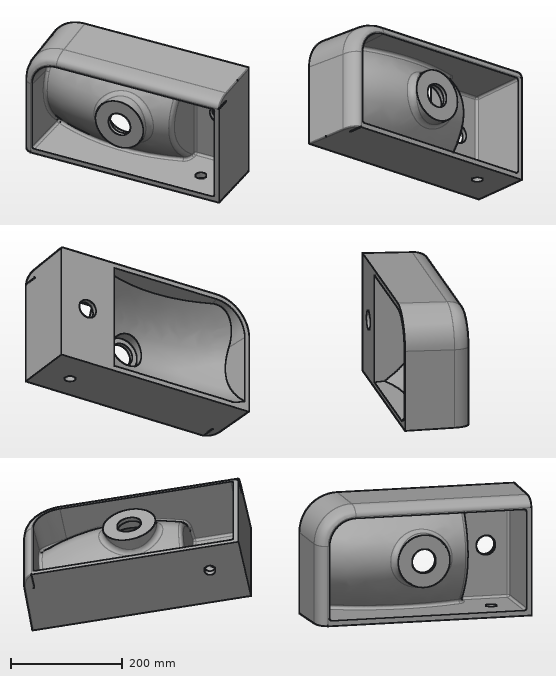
import cadquery as cq
import math

width = 400.0
depth = 120.0
height = 220.0
outer_draft = 2.0
corner_radius = 70.0
end_edge_radius = 2.0

roll_depth = 29.5
roll_width = 18.5

land = 3.0
end_wall = 9.5
back_wall = 10.0
deck_thickness = 10.0
cavity_draft = 2.0
cavity_fillet = 4.5

bowl_low_x = 180.0
bowl_low_y = 12.0
bowl_curve_x = 0.0015
bowl_curve_z = 0.0065
bowl_shell = 10.0
bowl_side_x = 297.0
bowl_side_draft = 4.0
bowl_side_fillet = 10.0
basin_wall = 10.0
basin_draft = 5.0

dome_width = 398.5
dome_steps = 12
dome_tolerance = 0.001

drain_x = 200.0
drain_z = height / 2
boss_diameter = 96.0
boss_fillet = 12.0
drain_diameter = 44.0
drain_lip = 8.0
recess_diameter = 64.0
tap_diameter = 35.0
tap_x = 344.0
inlet_diameter = 20.0
inlet_x = 338.0
inlet_y = 51.0

wall_depth = depth - roll_depth
shift = wall_depth * math.tan(math.radians(outer_draft))
arc_x = corner_radius + shift
arc_z = height - corner_radius - shift
front_radius = corner_radius - roll_width
core_left = arc_x - front_radius
core_top = arc_z + front_radius

margin = 4.0


def xz_plane(y):
    """Sketch plane at the given Y, with local axes along X and Z and normal towards -Y."""
    return cq.Workplane("XZ", origin=(0, y, 0))


def corner_profile(y, left, bottom, right, top, radius):
    """Rectangle whose upper left corner is rounded."""
    mid = radius * math.sqrt(0.5)
    return (
        xz_plane(y)
        .moveTo(left, bottom)
        .lineTo(left, top - radius)
        .threePointArc((left + radius - mid, top - radius + mid), (left + radius, top))
        .lineTo(right, top)
        .lineTo(right, bottom)
        .close()
    )


def cylinder(diameter, x, z, y0, y1):
    """Round bar along Y."""
    return xz_plane(y1).center(x, z).circle(diameter / 2).extrude(y1 - y0)


def drafted_walls():
    """Outer body above the rolled edge, lofted between two shifted copies of its outline."""
    upper = corner_profile(depth, 0, 0, width, height, corner_radius)
    lower = corner_profile(roll_depth, shift, 0, width, height - shift, corner_radius)
    return cq.Workplane(cq.Solid.makeLoft([upper.wires().val(), lower.wires().val()], True))


def rolled_section(plane):
    """Section of the rolled edge: local x points away from the corner axis, local y along +Y."""
    return (
        plane.moveTo(front_radius, 0)
        .ellipseArc(roll_width, roll_depth, -90, 0, startAtCurrent=True)
        .lineTo(front_radius, roll_depth)
        .close()
    )


def rolled_edge():
    """Rolled lower edge: along the left wall, round the corner and along the top wall."""
    corner = (arc_x, 0, arc_z)
    left_plane = cq.Plane(origin=corner, xDir=(-1, 0, 0), normal=(0, 0, -1))
    top_plane = cq.Plane(origin=corner, xDir=(0, 0, 1), normal=(-1, 0, 0))
    left = rolled_section(cq.Workplane(left_plane)).extrude(arc_z)
    top = rolled_section(cq.Workplane(top_plane)).extrude(arc_x - width)
    bend = rolled_section(cq.Workplane(left_plane)).revolve(90, (0, 0), (0, 1))
    return left.union(bend).union(top)


def underside_core():
    """Flat-bottomed core inside the rolled edge."""
    return corner_profile(
        roll_depth, core_left, 0, width, core_top, front_radius
    ).extrude(roll_depth)


def outer_body():
    """Solid outside shape, with the outer edges of its two cut ends rounded."""
    body = drafted_walls().union(rolled_edge())
    right_end = cq.selectors.BoxSelector(
        (width - margin, -margin, height - roll_depth),
        (width + margin, depth - margin, height + margin),
    )
    end_edges = body.faces(">X").edges(right_end).vals()
    body = body.newObject(end_edges).fillet(end_edge_radius)
    lower_left = cq.selectors.BoxSelector(
        (-margin, -margin, -margin), (roll_depth, depth - margin, margin)
    )
    back_edges = body.faces("<Z").edges(lower_left).vals()
    body = body.newObject(back_edges).fillet(end_edge_radius)
    return body.union(underside_core())


def bowl_dome(low_y):
    """Everything above a paraboloid whose lowest point lies at low_y."""

    def surface_point(x, z):
        y = low_y + bowl_curve_x * (x - bowl_low_x) ** 2 + bowl_curve_z * (z - drain_z) ** 2
        return cq.Vector(x, y, z)

    grid = [
        [
            surface_point(dome_width * i / dome_steps, height * j / dome_steps)
            for j in range(dome_steps + 1)
        ]
        for i in range(dome_steps + 1)
    ]
    face = cq.Face.makeSplineApprox(grid, tol=dome_tolerance, maxDeg=3)
    return cq.Workplane(cq.Solid.extrudeLinear(face, cq.Vector(0, 2 * depth, 0)))


def bowl_extent():
    """Block left of the bowl's drafted right side, which stands at bowl_side_x at rim level."""
    lean = depth * math.tan(math.radians(bowl_side_draft))
    return (
        cq.Workplane("XY")
        .polyline([(0, 0), (bowl_side_x - lean, 0), (bowl_side_x, depth), (0, depth)])
        .close()
        .extrude(height)
    )


def is_boss_root(edge):
    """True for the edge where the drain boss meets the bowl."""
    middle = edge.Center()
    box = edge.BoundingBox()
    near_drain = abs(middle.x - drain_x) < boss_diameter and 2.0 < middle.y < depth / 3
    return near_drain and boss_diameter / 3 < box.xlen < boss_diameter + margin


def bowl_underside():
    """Solid bowl bulge with its drain boss, before the basin is hollowed out."""
    bulge = bowl_dome(bowl_low_y).intersect(bowl_extent())
    near_side = cq.selectors.BoxSelector(
        (bowl_side_x - 2 * bowl_side_fillet, bowl_low_y - margin, -margin),
        (bowl_side_x, depth - margin, height + margin),
    )
    side_edges = [
        edge for edge in bulge.edges(near_side).vals() if edge.BoundingBox().zlen > height / 2
    ]
    bulge = bulge.newObject(side_edges).fillet(bowl_side_fillet)
    bulge = bulge.union(cylinder(boss_diameter, drain_x, drain_z, 0, depth / 2))
    boss_root = [edge for edge in bulge.edges().vals() if is_boss_root(edge)]
    return bulge.newObject(boss_root).fillet(boss_fillet)


def is_cavity_corner(edge):
    """True for edges between the cavity's walls, deck and bowl, but not on the bowl or at the mouth."""
    middle = edge.Center()
    on_bowl = (
        core_left + 2 * land < middle.x < bowl_side_x - 2.0
        and 2 * back_wall < middle.z < core_top - 2 * back_wall
    )
    at_mouth = edge.BoundingBox().ymax < land
    straight_up = edge.BoundingBox().ymin < land
    beside_round = middle.x < arc_x + land and middle.z > arc_z - land
    arc_seam = straight_up and beside_round
    return not (on_bowl or at_mouth or arc_seam)


def cavity():
    """Void under the deck and the bowl, drafted so that it narrows upwards."""
    space = corner_profile(
        0, core_left + land, back_wall, width - end_wall, core_top - land, front_radius - land
    ).extrude(-(depth - deck_thickness), taper=cavity_draft)
    space = space.cut(bowl_underside())
    corners = [edge for edge in space.edges().vals() if is_cavity_corner(edge)]
    return space.newObject(corners).fillet(cavity_fillet)


def basin():
    """Bowl opening, sunk from the rim down to the inner paraboloid."""
    opening = corner_profile(
        depth,
        basin_wall,
        basin_wall,
        bowl_side_x - basin_wall,
        height - basin_wall,
        corner_radius - basin_wall,
    ).extrude(depth, taper=basin_draft)
    return opening.intersect(bowl_dome(bowl_low_y + bowl_shell))


def holes():
    """Drain with its recess, tap hole and water inlet."""
    drain = cylinder(drain_diameter, drain_x, drain_z, 0, depth)
    recess = cylinder(recess_diameter, drain_x, drain_z, drain_lip, depth / 2)
    tap = cylinder(tap_diameter, tap_x, drain_z, depth / 2, depth)
    inlet = (
        cq.Workplane()
        .center(inlet_x, inlet_y)
        .circle(inlet_diameter / 2)
        .extrude(2 * back_wall)
    )
    return drain.union(recess).union(tap).union(inlet)


result = outer_body().cut(cavity()).cut(basin()).cut(holes())